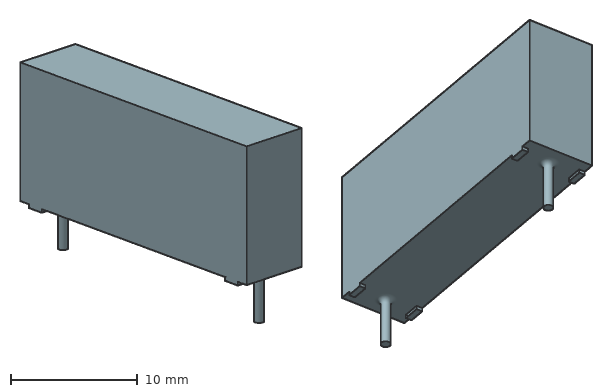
import cadquery as cq

body_length = 26.0
body_width = 6.0
total_height = 16.0

lead_diameter = 0.8
lead_length = 4.3
lead_spacing = 22.52
flare_radius = 0.5

foot_length = 1.48
foot_width = 0.55
foot_height = 0.3

body_height = total_height - lead_length
lead_radius = lead_diameter / 2
foot_y = (body_width - foot_width) / 2


def make_body():
    """Plain rectangular case standing on the plane Z = 0."""
    return cq.Workplane("XY").box(body_length, body_width, body_height, centered=(True, True, False))


def make_lead(x):
    """Lead below the body with a concave flare where it meets the underside."""
    flare_middle = flare_radius * (1 - 0.5 ** 0.5)
    profile = (
        cq.Workplane("XZ")
        .lineTo(lead_radius + flare_radius, 0)
        .threePointArc(
            (lead_radius + flare_middle, -flare_middle),
            (lead_radius, -flare_radius),
        )
        .lineTo(lead_radius, -lead_length)
        .lineTo(0, -lead_length)
        .close()
    )
    return profile.revolve(360, (0, 0, 0), (0, 1, 0)).translate((x, 0, 0))


def make_foot(x, y):
    """Small block under the body, flush with its long side."""
    foot = cq.Workplane("XY").box(foot_length, foot_width, foot_height, centered=(True, True, False))
    return foot.translate((x, y, -foot_height))


result = make_body()
for lead_x in (-lead_spacing / 2, lead_spacing / 2):
    result = result.union(make_lead(lead_x))
    for side_y in (-foot_y, foot_y):
        result = result.union(make_foot(lead_x, side_y))